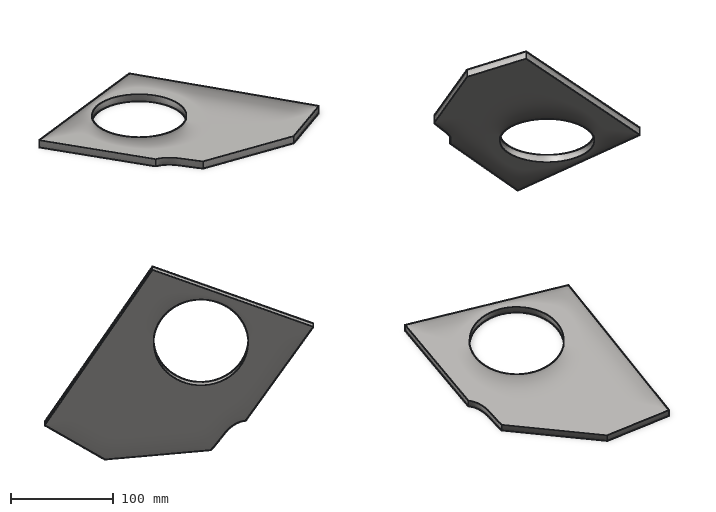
import cadquery as cq

length = 228.5
width = 165.0
thickness = 8.0

top_left_x = 31.5
right_edge_bottom_y = 95.8
lower_right_corner = (165.3, 14.0)

step_start = (120.5, 2.0)
step_curve_points = [
    (125.0, 6.5),
    (131.5, 9.8),
    (141.7, 12.1),
    lower_right_corner,
]

hole_diameter = 92.0
hole_center = (72.5, 83.7)


def make_plate():
    """Flat plate with slanted sides and a curved step in its lower edge."""
    return (
        cq.Workplane("XY")
        .moveTo(0, 0)
        .lineTo(*step_start)
        .spline(step_curve_points, includeCurrent=True)
        .lineTo(length, right_edge_bottom_y)
        .lineTo(length, width)
        .lineTo(top_left_x, width)
        .close()
        .extrude(thickness)
    )


def make_opening():
    """Cylinder that cuts the round opening through the full thickness."""
    return (
        cq.Workplane("XY")
        .center(*hole_center)
        .circle(hole_diameter / 2)
        .extrude(thickness)
    )


result = make_plate().cut(make_opening())